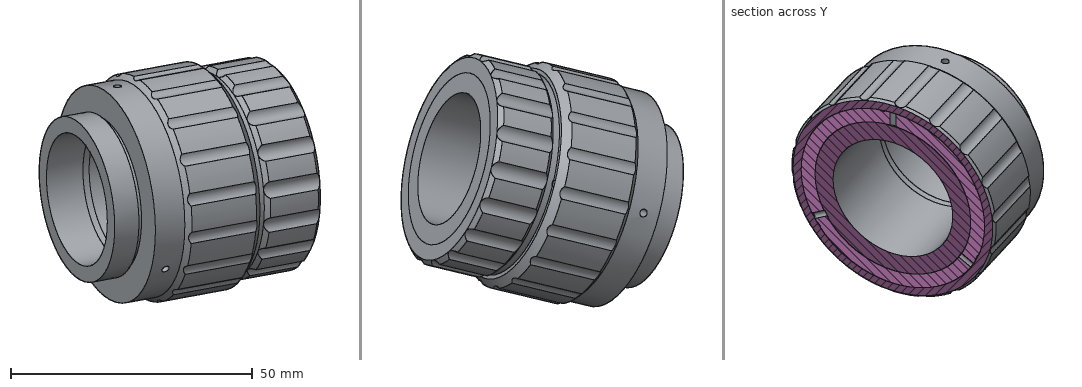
import cadquery as cq

BORE_RADIUS = 14.0
BARREL_RADIUS = 18.25
NECK_RADIUS = 16.5

MOUNT_RADIUS = 17.4
MOUNT_LAND_END = 5.6
CLAMP_START = 6.65
MOUNT_END = 8.45

CLAMP_RADIUS = 22.9
CLAMP_END = 13.5

WIDE_RADIUS = 24.0
WIDE_FRONT_CHAMFER = WIDE_RADIUS - CLAMP_RADIUS
WIDE_REAR_CHAMFER = 1.65
WIDE_END = 31.15
WIDE_GROOVE_DEPTH = 0.5
WIDE_GROOVE_ANGLE = 93.4

NARROW_RADIUS = 22.45
NARROW_CHAMFER = 0.95
COLLAR_RADIUS = NARROW_RADIUS - NARROW_CHAMFER
COLLAR_START = 28.8
NARROW_START = 32.6
TOTAL_LENGTH = 45.6
NARROW_GROOVE_ANGLE = 90.0

GROOVE_COUNT = 18
GROOVE_RADIUS = 2.15

HOLE_RADIUS = 0.8
HOLE_COUNT = 3
CLAMP_HOLE_Y = 10.2
CLAMP_HOLE_ANGLE = 94.0
COLLAR_HOLE_Y = 30.55
COLLAR_HOLE_ANGLE = 90.0

RETAINER_LENGTH = 1.45


def turned(profile):
    """Revolve a closed outline of (radius, Y) points about the Y axis."""
    return cq.Workplane("XY").polyline(profile).close().revolve(360, (0, 0), (0, 1))


def around_axis(body, count, first_angle):
    """Copies of a body made on the +X side, spaced evenly about Y; 90 degrees points to +Z."""
    return [
        body.rotate((0, 0, 0), (0, 1, 0), -(first_angle + i * 360 / count))
        for i in range(count)
    ]


def cut_grooves(ring, ring_radius, depth, first_angle):
    """Cut round-bottomed grooves along the full length of a grip ring."""
    centre = ring_radius - depth + GROOVE_RADIUS
    cutter = (
        cq.Workplane("XZ", origin=(centre, 0, 0)).circle(GROOVE_RADIUS).extrude(-TOTAL_LENGTH)
    )
    for groove in around_axis(cutter, GROOVE_COUNT, first_angle):
        ring = ring.cut(groove)
    return ring


def cut_screw_holes(ring, y, first_angle):
    """Drill radial set-screw holes through the wall of a ring."""
    drill = cq.Workplane("YZ", origin=(NECK_RADIUS, y, 0)).circle(HOLE_RADIUS).extrude(WIDE_RADIUS)
    for hole in around_axis(drill, HOLE_COUNT, first_angle):
        ring = ring.cut(hole)
    return ring


def make_mount():
    return turned([
        (BORE_RADIUS, 0),
        (MOUNT_RADIUS, 0),
        (MOUNT_RADIUS, MOUNT_LAND_END),
        (NECK_RADIUS, MOUNT_LAND_END),
        (NECK_RADIUS, MOUNT_END),
        (BORE_RADIUS, MOUNT_END),
    ])


def make_clamp_ring():
    ring = turned([
        (NECK_RADIUS, CLAMP_START),
        (CLAMP_RADIUS, CLAMP_START),
        (CLAMP_RADIUS, CLAMP_END),
        (BARREL_RADIUS, CLAMP_END),
        (BARREL_RADIUS, MOUNT_END),
        (NECK_RADIUS, MOUNT_END),
    ])
    return cut_screw_holes(ring, CLAMP_HOLE_Y, CLAMP_HOLE_ANGLE)


def make_wide_grip():
    ring = turned([
        (BARREL_RADIUS, CLAMP_END),
        (WIDE_RADIUS - WIDE_FRONT_CHAMFER, CLAMP_END),
        (WIDE_RADIUS, CLAMP_END + WIDE_FRONT_CHAMFER),
        (WIDE_RADIUS, WIDE_END - WIDE_REAR_CHAMFER),
        (WIDE_RADIUS - WIDE_REAR_CHAMFER, WIDE_END),
        (COLLAR_RADIUS, WIDE_END),
        (COLLAR_RADIUS, COLLAR_START),
        (BARREL_RADIUS, COLLAR_START),
    ])
    return cut_grooves(ring, WIDE_RADIUS, WIDE_GROOVE_DEPTH, WIDE_GROOVE_ANGLE)


def make_narrow_grip():
    grip = turned([
        (BARREL_RADIUS, COLLAR_START),
        (COLLAR_RADIUS, COLLAR_START),
        (COLLAR_RADIUS, NARROW_START),
        (NARROW_RADIUS, NARROW_START + NARROW_CHAMFER),
        (NARROW_RADIUS, TOTAL_LENGTH - NARROW_CHAMFER),
        (COLLAR_RADIUS, TOTAL_LENGTH),
        (BARREL_RADIUS, TOTAL_LENGTH),
    ])
    grip = cut_grooves(grip, NARROW_RADIUS, NARROW_CHAMFER, NARROW_GROOVE_ANGLE)
    return cut_screw_holes(grip, COLLAR_HOLE_Y, COLLAR_HOLE_ANGLE)


def make_retainer():
    return turned([
        (BORE_RADIUS, MOUNT_END),
        (NECK_RADIUS, MOUNT_END),
        (NECK_RADIUS, MOUNT_END + RETAINER_LENGTH),
        (BORE_RADIUS, MOUNT_END + RETAINER_LENGTH),
    ])


def make_barrel():
    return turned([
        (NECK_RADIUS, MOUNT_END),
        (BARREL_RADIUS, MOUNT_END),
        (BARREL_RADIUS, TOTAL_LENGTH),
        (BORE_RADIUS, TOTAL_LENGTH),
        (BORE_RADIUS, MOUNT_END + RETAINER_LENGTH),
        (NECK_RADIUS, MOUNT_END + RETAINER_LENGTH),
    ])


mount = make_mount()
clamp_ring = make_clamp_ring()
wide_grip = make_wide_grip()
narrow_grip = make_narrow_grip()
retainer = make_retainer()
barrel = make_barrel()

result = cq.Compound.makeCompound([
    mount.val(),
    clamp_ring.solids().val(),
    wide_grip.solids().val(),
    narrow_grip.solids().val(),
    retainer.val(),
    barrel.val(),
])